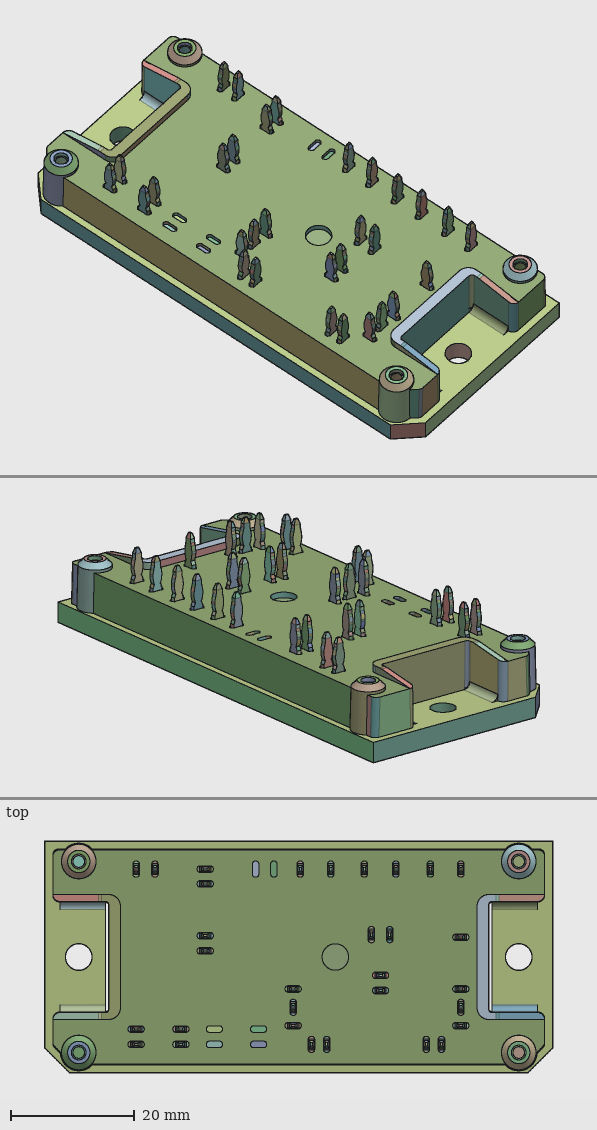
import cadquery as cq
import math

LENGTH = 82.0
WIDTH = 37.4
BASE_HEIGHT = 3.5
BASE_CHAMFER = 4.0

BODY_LENGTH = 79.4
BODY_TOP = 10.4
BODY_BOTTOM_WIDTH = 34.9
BODY_TOP_WIDTH = 34.4
BODY_CHAMFER = 3.1
BODY_CORNER_RADIUS = 1.0
CHAMFER_BLEND_RADIUS = 0.9

NOTCH_BACK_X = 30.7
NOTCH_TOP_WIDTH = 17.95
NOTCH_BOTTOM_WIDTH = 17.7
NOTCH_CORNER_RADIUS = 0.6
NOTCH_MOUTH_RADIUS = 1.15
COVE_RADIUS = 1.15
COVE_OVERLAP = 0.2
LIP_TOP = 11.65
LIP_WIDTH = 20.2
LIP_BACK_X = 28.8
LIP_CORNER_RADIUS = 1.9
LIP_SLOPE_X = 32.1
LIP_BLEND_RADIUS = 3.3
SLIT_WIDTH = 0.5

MOUNT_DIAMETER = 4.3
MOUNT_X = 35.5
DIMPLE_X = 5.9
DIMPLE_DEPTH = 1.0

BOSS_X = 35.5
BOSS_Y = 15.4
BOSS_BOTTOM_RADIUS = 2.95
BOSS_RADIUS = 2.8
BOSS_SHOULDER = 10.9
BOSS_TOP = 11.9
BOSS_TOP_RADIUS = 1.8
BOSS_HOLE_DIAMETER = 2.4
BOSS_HOLE_DEPTH = 0.7
BOSS_BORE_DIAMETER = 1.9
BOSS_BORE_DEPTH = 3.3

PIN_TOP = 16.2
PIN_THICKNESS = 0.8
PIN_TIP_THICKNESS = 0.3
PIN_TIP_HALF_WIDTH = 0.29
PIN_NECK_HALF_WIDTH = 0.615
PIN_BELLY_HALF_WIDTH = 0.9
PIN_BELLY_TOP_HALF_WIDTH = 0.7
PIN_FOOT_HALF_WIDTH = 0.9
PIN_NECK_TOP = 15.3
PIN_NECK_BOTTOM = 14.7
PIN_BELLY_TOP = 14.2
PIN_BELLY_BOTTOM = 11.6
PIN_FOOT_TOP = 10.9
SLOT_LENGTH = 2.6
SLOT_WIDTH = 1.1
SLOT_DEPTH = 0.65
SLOT_FLOOR = BODY_TOP - SLOT_DEPTH

ROW_BACK = 14.2
ROW_FRONT = -14.1
ROW_FRONT_INNER = -11.65
ROW_TRIO_MIDDLE = -8.1
TRIO_SPACING = 2.95
COLUMN_RIGHT = 26.15
COLUMN_TRIO = -0.9
COLUMN_LEFT = -15.1
COLUMN_PAIR = 13.2
FRONT_COLUMNS = [-26.2, -19.0]
EMPTY_FRONT_COLUMNS = [-13.6, -6.5]

PINS_ALONG_Y = [(x, ROW_BACK) for x in (-26.2, -23.2, 0.25, 5.2, 10.6, 15.7, 21.2, COLUMN_RIGHT)]
PINS_ALONG_Y += [(x, 3.6) for x in (11.7, 14.7)]
PINS_ALONG_Y += [(x, ROW_TRIO_MIDDLE) for x in (COLUMN_TRIO, COLUMN_RIGHT)]
PINS_ALONG_Y += [(x, ROW_FRONT) for x in (2.05, 4.5, 20.6, 23.05)]

PINS_ALONG_X = [(COLUMN_LEFT, y) for y in (ROW_BACK, 11.8, 3.45, 1.0)]
PINS_ALONG_X += [(COLUMN_PAIR, y) for y in (-2.95, -5.4)]
PINS_ALONG_X += [
    (x, ROW_TRIO_MIDDLE + side * TRIO_SPACING)
    for x in (COLUMN_TRIO, COLUMN_RIGHT)
    for side in (-1, 1)
]
PINS_ALONG_X += [(COLUMN_RIGHT, 3.2)]
PINS_ALONG_X += [(x, y) for x in FRONT_COLUMNS for y in (ROW_FRONT, ROW_FRONT_INNER)]

EMPTY_ALONG_Y = [(x, ROW_BACK) for x in (-7.0, -4.0)]
EMPTY_ALONG_X = [(x, y) for x in EMPTY_FRONT_COLUMNS for y in (ROW_FRONT, ROW_FRONT_INNER)]


def trapezoid_bar(bottom_width, top_width, bottom, top, x_start, length):
    """A bar along X whose sides lean in or out between its bottom and top."""
    corners = [
        (-bottom_width / 2, bottom),
        (bottom_width / 2, bottom),
        (top_width / 2, top),
        (-top_width / 2, top),
    ]
    return cq.Workplane("YZ").workplane(offset=x_start).polyline(corners).close().extrude(length)


def on_both_ends(left_end):
    """The shape at the -X end together with its mirror image at the +X end."""
    return left_end.union(left_end.mirror("YZ"))


def make_base():
    plate = cq.Workplane("XY").box(LENGTH, WIDTH, BASE_HEIGHT, centered=(True, True, False))
    return plate.edges("|Z and <Y").chamfer(BASE_CHAMFER)


def make_block():
    """The notched housing block, carried up to the height of the lip."""
    block = trapezoid_bar(
        BODY_BOTTOM_WIDTH, BODY_TOP_WIDTH, BASE_HEIGHT, LIP_TOP, -BODY_LENGTH / 2, BODY_LENGTH
    )
    block = block.faces("<X or >X").edges("not #Z").edges("<Y").chamfer(BODY_CHAMFER)
    block = block.faces("<X or >X").edges("not #Z").edges("<Y").fillet(CHAMFER_BLEND_RADIUS)
    block = block.faces("<X or >X").edges("not #Z").edges(">Y").fillet(BODY_CORNER_RADIUS)
    block = block.cut(on_both_ends(make_notch()))
    mouth = cq.selectors.BoxSelector((-LENGTH, -LIP_WIDTH / 2, 0), (LENGTH, LIP_WIDTH / 2, PIN_TOP))
    return block.faces("<X or >X").edges("not #Z").edges(mouth).fillet(NOTCH_MOUTH_RADIUS)


def make_lip():
    """The raised rim around the -X notch, before the notch is cut."""
    end_x = -BODY_LENGTH / 2
    rim = (
        cq.Workplane("XY")
        .workplane(offset=SLOT_FLOOR)
        .moveTo((end_x - LIP_BACK_X) / 2, 0)
        .rect(-LIP_BACK_X - end_x, LIP_WIDTH)
        .extrude(LIP_TOP - SLOT_FLOOR)
        .edges("|Z and >X")
        .fillet(LIP_CORNER_RADIUS)
    )
    side_profile = [
        (end_x, SLOT_FLOOR),
        (-LIP_BACK_X, SLOT_FLOOR),
        (-LIP_BACK_X, LIP_TOP),
        (-LIP_SLOPE_X, LIP_TOP),
        (end_x, BODY_TOP),
    ]
    slope = cq.Workplane("XZ").polyline(side_profile).close().extrude(LIP_WIDTH / 2, both=True)
    bend = cq.selectors.NearestToPointSelector((-LIP_SLOPE_X, 0, LIP_TOP))
    return rim.intersect(slope.edges(bend).fillet(LIP_BLEND_RADIUS))


def make_notch():
    """The space cut from the -X end of the housing."""
    pocket = trapezoid_bar(
        NOTCH_BOTTOM_WIDTH,
        NOTCH_TOP_WIDTH,
        BASE_HEIGHT,
        LIP_TOP,
        -LENGTH / 2,
        LENGTH / 2 - NOTCH_BACK_X,
    )
    return pocket.faces(">X").edges("not #Z").fillet(NOTCH_CORNER_RADIUS)


def make_coves():
    """Concave fillets where the side walls of the -X notch meet the baseplate."""
    start_x = -BODY_LENGTH / 2 + NOTCH_MOUTH_RADIUS
    wall_y = NOTCH_BOTTOM_WIDTH / 2
    buried_y = wall_y + COVE_OVERLAP
    arc_inset = COVE_RADIUS * (1 - math.sqrt(0.5))
    cove = (
        cq.Workplane("YZ")
        .workplane(offset=start_x)
        .moveTo(wall_y - COVE_RADIUS, BASE_HEIGHT)
        .threePointArc(
            (wall_y - arc_inset, BASE_HEIGHT + arc_inset),
            (wall_y, BASE_HEIGHT + COVE_RADIUS),
        )
        .lineTo(buried_y, BASE_HEIGHT + COVE_RADIUS)
        .lineTo(buried_y, BASE_HEIGHT)
        .close()
        .extrude(-NOTCH_BACK_X - SLIT_WIDTH - start_x)
    )
    return cove.union(cove.mirror("XZ"))


def make_slit():
    """The narrow gap through the baseplate along the back wall of the -X notch."""
    return (
        cq.Workplane("XY")
        .moveTo(-NOTCH_BACK_X - SLIT_WIDTH / 2, 0)
        .rect(SLIT_WIDTH, NOTCH_BOTTOM_WIDTH)
        .extrude(BASE_HEIGHT)
    )


def boss_centers():
    return [(x, y) for x in (-BOSS_X, BOSS_X) for y in (-BOSS_Y, BOSS_Y)]


def make_bosses():
    half_section = [
        (0, BASE_HEIGHT),
        (BOSS_BOTTOM_RADIUS, BASE_HEIGHT),
        (BOSS_RADIUS, BOSS_SHOULDER),
        (BOSS_TOP_RADIUS, BOSS_TOP),
        (0, BOSS_TOP),
    ]
    boss = cq.Workplane("XZ").polyline(half_section).close().revolve(360, (0, 0), (0, 1))
    return [boss.translate((x, y, 0)) for x, y in boss_centers()]


def make_boss_holes():
    top = cq.Workplane("XY").workplane(offset=BOSS_TOP).pushPoints(boss_centers())
    mouths = top.circle(BOSS_HOLE_DIAMETER / 2).extrude(-BOSS_HOLE_DEPTH)
    bores = top.circle(BOSS_BORE_DIAMETER / 2).extrude(-BOSS_BORE_DEPTH)
    return mouths.union(bores)


def make_pin():
    """One flat contact pin, broad along X, standing on the slot floor at the origin."""
    belly_middle = (PIN_BELLY_TOP + PIN_BELLY_BOTTOM) / 2
    right_half = (
        cq.Workplane("XZ")
        .moveTo(0, SLOT_FLOOR)
        .lineTo(PIN_FOOT_HALF_WIDTH, SLOT_FLOOR)
        .lineTo(PIN_FOOT_HALF_WIDTH, PIN_FOOT_TOP)
        .lineTo(PIN_NECK_HALF_WIDTH, PIN_BELLY_BOTTOM)
        .threePointArc(
            (PIN_BELLY_HALF_WIDTH, belly_middle),
            (PIN_BELLY_TOP_HALF_WIDTH, PIN_BELLY_TOP),
        )
        .lineTo(PIN_NECK_HALF_WIDTH, PIN_NECK_BOTTOM)
        .lineTo(PIN_NECK_HALF_WIDTH, PIN_NECK_TOP)
        .lineTo(PIN_TIP_HALF_WIDTH, PIN_TOP)
        .lineTo(0, PIN_TOP)
    )
    outline = right_half.mirrorY().extrude(PIN_THICKNESS / 2, both=True)
    edge_profile = [
        (-PIN_THICKNESS / 2, SLOT_FLOOR),
        (PIN_THICKNESS / 2, SLOT_FLOOR),
        (PIN_THICKNESS / 2, PIN_NECK_TOP),
        (PIN_TIP_THICKNESS / 2, PIN_TOP),
        (-PIN_TIP_THICKNESS / 2, PIN_TOP),
        (-PIN_THICKNESS / 2, PIN_NECK_TOP),
    ]
    edge_view = cq.Workplane("YZ").polyline(edge_profile).close().extrude(PIN_FOOT_HALF_WIDTH, both=True)
    return outline.intersect(edge_view)


def make_slots(centers, angle):
    return (
        cq.Workplane("XY")
        .workplane(offset=SLOT_FLOOR)
        .pushPoints(centers)
        .slot2D(SLOT_LENGTH, SLOT_WIDTH, angle)
        .extrude(SLOT_DEPTH)
    )


below_top = cq.Workplane("XY").box(LENGTH, WIDTH, BODY_TOP, centered=(True, True, False))
housing = make_block().intersect(below_top.union(on_both_ends(make_lip())))

part = make_base().union(housing).union(on_both_ends(make_coves())).cut(on_both_ends(make_slit()))
for boss in make_bosses():
    part = part.union(boss)
part = part.cut(make_boss_holes())

mount_holes = cq.Workplane("XY").pushPoints([(-MOUNT_X, 0), (MOUNT_X, 0)])
part = part.cut(mount_holes.circle(MOUNT_DIAMETER / 2).extrude(BASE_HEIGHT))

dimple = cq.Workplane("XY").workplane(offset=BODY_TOP).center(DIMPLE_X, 0)
part = part.cut(dimple.circle(MOUNT_DIAMETER / 2).extrude(-DIMPLE_DEPTH))

part = part.cut(make_slots(PINS_ALONG_X + EMPTY_ALONG_X, 0))
part = part.cut(make_slots(PINS_ALONG_Y + EMPTY_ALONG_Y, 90))

pin_along_x = make_pin()
pin_along_y = pin_along_x.rotate((0, 0, 0), (0, 0, 1), 90)
for x, y in PINS_ALONG_X:
    part = part.union(pin_along_x.translate((x, y, 0)))
for x, y in PINS_ALONG_Y:
    part = part.union(pin_along_y.translate((x, y, 0)))

result = part